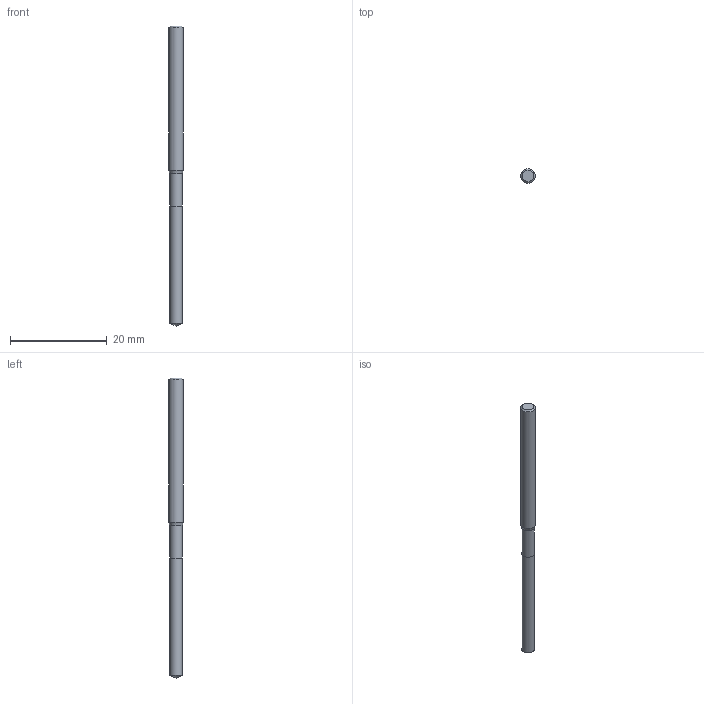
import cadquery as cq
import math

overall_length = 62.0
shank_diameter = 3.0
cutting_diameter = 2.6
neck_diameter = cutting_diameter
point_angle = 130.0
shoulder_angle = 15.0
cutting_length = 24.8
shank_length = 29.8
end_chamfer = 0.3

shank_radius = shank_diameter / 2
neck_radius = neck_diameter / 2
cutting_radius = cutting_diameter / 2
point_length = cutting_radius / math.tan(math.radians(point_angle / 2))
shoulder_length = (shank_radius - neck_radius) / math.tan(math.radians(shoulder_angle))
shank_bottom = overall_length - shank_length
neck_top = shank_bottom - shoulder_length


def turn(half_profile):
    """Revolve a closed (radius, height) half profile about the Z axis."""
    return cq.Workplane("XZ").polyline(half_profile).close().revolve(360, (0, 0, 0), (0, 1, 0))


def make_shank():
    """Cylindrical shank with a chamfered top, narrowing through a cone to the neck."""
    return turn([
        (0, cutting_length),
        (neck_radius, cutting_length),
        (neck_radius, neck_top),
        (shank_radius, shank_bottom),
        (shank_radius, overall_length - end_chamfer),
        (shank_radius - end_chamfer, overall_length),
        (0, overall_length),
    ])


def make_cutting_part():
    """Plain cylinder with a conical point, meeting the neck end to end."""
    return turn([
        (0, 0),
        (cutting_radius, point_length),
        (cutting_radius, cutting_length),
        (0, cutting_length),
    ])


shank = make_shank()
cutting_part = make_cutting_part()

result = cq.Compound.makeCompound([shank.val(), cutting_part.val()])